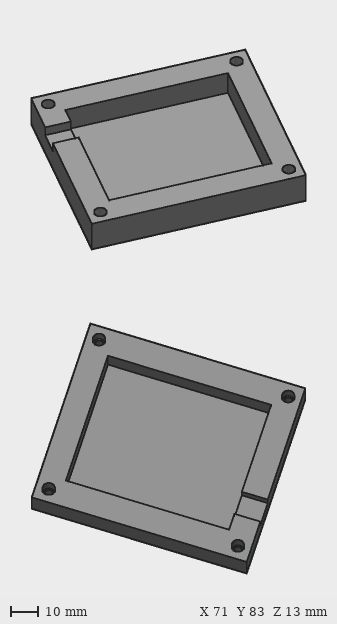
import cadquery as cq

LENGTH_X = 71.0
LENGTH_Y = 83.0
HEIGHT = 13.0

WALL = 10.0
POCKET_DEPTH = 10.0

NOTCH_WIDTH = 9.0
NOTCH_DEPTH = 4.0
NOTCH_START = 16.5

HOLE_DIAMETER = 3.4
COUNTERBORE_DIAMETER = 4.7
COUNTERBORE_DEPTH = 6.0
HOLE_INSET = WALL / 2


def make_block():
    """Plain block centred in X and Y, standing on Z = 0."""
    return cq.Workplane("XY").box(LENGTH_X, LENGTH_Y, HEIGHT, centered=(True, True, False))


def cut_pocket(body):
    """Rectangular pocket that leaves an equal wall on all four sides."""
    pocket_x = LENGTH_X - 2 * WALL
    pocket_y = LENGTH_Y - 2 * WALL
    return body.faces(">Z").workplane().rect(pocket_x, pocket_y).cutBlind(-POCKET_DEPTH)


def cut_notch(body):
    """Shallow notch across the -Y wall, from the outer side to the pocket."""
    notch = (
        cq.Workplane("XY")
        .box(NOTCH_WIDTH, WALL, NOTCH_DEPTH, centered=False)
        .translate((NOTCH_START - LENGTH_X / 2, -LENGTH_Y / 2, HEIGHT - NOTCH_DEPTH))
    )
    return body.cut(notch)


def cut_corner_holes(body):
    """Four through holes with a wider bore at the top, one in each corner."""
    spacing_x = LENGTH_X - 2 * HOLE_INSET
    spacing_y = LENGTH_Y - 2 * HOLE_INSET
    return (
        body.faces(">Z")
        .workplane(origin=(0, 0, HEIGHT))
        .rect(spacing_x, spacing_y, forConstruction=True)
        .vertices()
        .cboreHole(HOLE_DIAMETER, COUNTERBORE_DIAMETER, COUNTERBORE_DEPTH)
    )


result = make_block()
result = cut_pocket(result)
result = cut_notch(result)
result = cut_corner_holes(result)